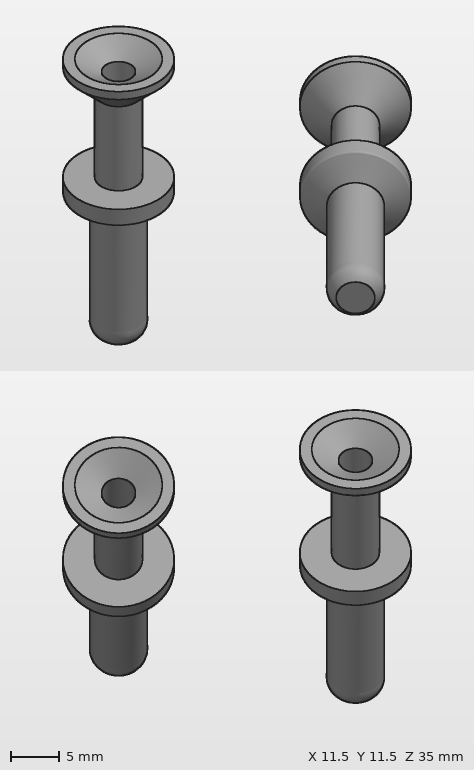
import cadquery as cq

total_height = 35.0
disc_radius = 5.758
neck_radius = 2.5
pin_radius = 2.98

head_rim_height = 1.0
head_cone_height = disc_radius - neck_radius
head_base_z = total_height - head_rim_height - head_cone_height

collar_top_z = 20.0
collar_rim_z = 18.15
collar_cone_top_z = 17.8
collar_cone_top_radius = 5.53
collar_base_z = 16.3
collar_edge_bulge = 0.052

tip_height = 2.3
tip_flat_radius = 2.0
tip_bulge = 0.35

funnel_radius = 4.5
hole_radius = 1.75
funnel_depth = 1.6
hole_floor_z = collar_top_z
drill_point_height = hole_radius


def make_body():
    """Revolve the outer profile of the pin, collar, neck and head."""
    tip_middle = (
        (tip_flat_radius + pin_radius) / 2 + tip_bulge,
        tip_height / 2 - tip_bulge / 2,
    )
    edge_middle = (
        (collar_cone_top_radius + disc_radius) / 2 + collar_edge_bulge,
        (collar_cone_top_z + collar_rim_z) / 2 - collar_edge_bulge,
    )
    return (
        cq.Workplane("XZ")
        .lineTo(tip_flat_radius, 0)
        .threePointArc(tip_middle, (pin_radius, tip_height))
        .lineTo(pin_radius, collar_base_z)
        .lineTo(collar_cone_top_radius, collar_cone_top_z)
        .threePointArc(edge_middle, (disc_radius, collar_rim_z))
        .lineTo(disc_radius, collar_top_z)
        .lineTo(neck_radius, collar_top_z)
        .lineTo(neck_radius, head_base_z)
        .lineTo(disc_radius, total_height - head_rim_height)
        .lineTo(disc_radius, total_height)
        .lineTo(0, total_height)
        .close()
        .revolve(360, (0, 0, 0), (0, 1, 0))
    )


def make_bore():
    """Revolve the funnel, the hole and its drill point."""
    return (
        cq.Workplane("XZ")
        .moveTo(0, total_height)
        .lineTo(funnel_radius, total_height)
        .lineTo(hole_radius, total_height - funnel_depth)
        .lineTo(hole_radius, hole_floor_z)
        .lineTo(0, hole_floor_z - drill_point_height)
        .close()
        .revolve(360, (0, 0, 0), (0, 1, 0))
    )


result = make_body().cut(make_bore())